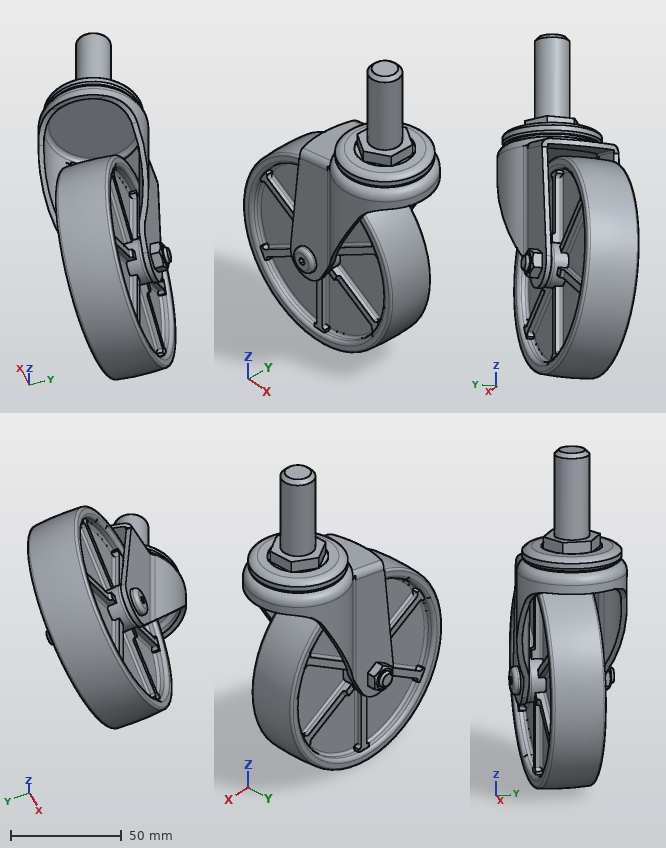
import cadquery as cq
import math

overrun = 1.7

swivel_x = 32.0
stem_top_z = 116.0

wheel_radius = 50.0
wheel_half_width = 12.5
tread_crown = 0.5
tread_corner_round = 1.2
rim_inner_radius = 44.0
rim_edge_round = 1.8
web_half_thickness = 7.5
web_fillet = 1.3
hub_radius = 10.3
hub_half_length = 15.1
hub_edge_round = 0.8

spoke_count = 6
spoke_half_width = 1.8
spoke_height = 3.3
spoke_fillet = 1.2
spoke_flare = 1.7
pad_height = 4.8
pad_end_radius = 14.5
pad_step_round = 1.0

sheet = 2.5
fork_half_width = 18.5
dish_radius = 24.9
dish_top_z = 64.0
dish_edge_round = 4.6
skirt_bottom_z = 55.1
leg_end_radius = 11.0
leg_rear_top_x = -5.3
leg_rear_top_z = 53.6
leg_front_angle = 60.0
skirt_arc_radius = 15.0
neck_blend_radius = 4.8
roof_slope = 10.0
roof_edge_radius = 41.3
roof_edge_z = 57.0
roof_bend_radius = 3.3

cap_radius = 22.5
cap_top_radius = 18.5
cap_top_z = 71.0
cap_shoulder_z = 68.9
cap_shoulder_round = 5.0
cap_lip_z = 66.4
cap_bottom_z = 65.2
cap_bottom_radius = 22.0
cap_neck_radius = 20.5
cap_recess_radius = 13.8
cap_recess_depth = 0.8

stem_radius = 8.0
stem_chamfer = 2.0
stem_hex_flats = 22.7
stem_hex_top_z = 75.9

bolt_radius = 4.0
bolt_tip_y = 25.4
bolt_tip_chamfer_length = 1.5
bolt_tip_chamfer_width = 0.8
head_radius = 6.5
head_height = 3.2
head_round = 2.0
socket_flats = 3.0
socket_depth = 2.5
nut_flats = 11.6
nut_height = 5.1
nut_chamfer_height = 1.0
nut_chamfer_width = 1.7


def hexagon_diameter(flats):
    """Corner-to-corner size of a hexagon from its size across flats."""
    return flats / math.cos(math.radians(30))


def both_sides(body):
    """A body on the +Y side together with its mirror image on the -Y side."""
    return body.union(body.mirror("XZ"))


def wheel_disc():
    """Tyre, rim, web and hub as one turned shape with a bore for the bolt."""
    round_45 = 1 - math.sqrt(0.5)
    rim_face_inner_radius = rim_inner_radius + rim_edge_round
    tread_edge_radius = wheel_radius - tread_crown
    tread_half_width = wheel_half_width - tread_corner_round
    rim_face_outer_radius = tread_edge_radius - tread_corner_round
    half_profile = (
        cq.Workplane("XY")
        .moveTo(bolt_radius, 0)
        .lineTo(bolt_radius, hub_half_length)
        .lineTo(hub_radius - hub_edge_round, hub_half_length)
        .threePointArc(
            (hub_radius - hub_edge_round * round_45, hub_half_length - hub_edge_round * round_45),
            (hub_radius, hub_half_length - hub_edge_round),
        )
        .lineTo(hub_radius, web_half_thickness)
        .lineTo(rim_inner_radius - web_fillet, web_half_thickness)
        .threePointArc(
            (rim_inner_radius - web_fillet * round_45, web_half_thickness + web_fillet * round_45),
            (rim_inner_radius, web_half_thickness + web_fillet),
        )
        .lineTo(rim_inner_radius, wheel_half_width - rim_edge_round)
        .threePointArc(
            (rim_inner_radius + rim_edge_round * round_45, wheel_half_width - rim_edge_round * round_45),
            (rim_face_inner_radius, wheel_half_width),
        )
        .lineTo(rim_face_outer_radius, wheel_half_width)
        .radiusArc((tread_edge_radius, tread_half_width), tread_corner_round)
        .lineTo(tread_edge_radius, 0)
        .close()
    )
    disc = both_sides(half_profile.revolve(360, (0, 0, 0), (0, 1, 0)))
    crowned_tread = (
        cq.Workplane("XY")
        .moveTo(rim_face_outer_radius, -tread_half_width)
        .lineTo(tread_edge_radius, -tread_half_width)
        .threePointArc((wheel_radius, 0), (tread_edge_radius, tread_half_width))
        .lineTo(rim_face_outer_radius, tread_half_width)
        .close()
        .revolve(360, (0, 0, 0), (0, 1, 0))
    )
    return disc.union(crowned_tread)


def spoke():
    """One raised rib on the +Y web face, pointing along +Z."""
    floor = web_half_thickness
    top = floor + spoke_height
    base_half_width = spoke_half_width + spoke_fillet
    fillet_mid = spoke_fillet * (1 - math.sqrt(0.5))
    inner = hub_radius - hub_edge_round
    rib = (
        cq.Workplane("XY", origin=(0, 0, inner))
        .moveTo(-base_half_width, floor - overrun)
        .lineTo(base_half_width, floor - overrun)
        .lineTo(base_half_width, floor)
        .threePointArc((spoke_half_width + fillet_mid, floor + fillet_mid),
                       (spoke_half_width, floor + spoke_fillet))
        .lineTo(spoke_half_width, top)
        .lineTo(-spoke_half_width, top)
        .lineTo(-spoke_half_width, floor + spoke_fillet)
        .threePointArc((-spoke_half_width - fillet_mid, floor + fillet_mid), (-base_half_width, floor))
        .close()
        .extrude(rim_inner_radius - inner)
    )
    flare_mid = spoke_flare * (1 - math.sqrt(0.5))
    flare_start = rim_inner_radius - 2 * spoke_flare
    flare_end = flare_start + spoke_flare
    flare_half_width = spoke_half_width + spoke_flare
    flare = (
        cq.Workplane("XZ", origin=(0, floor, 0))
        .moveTo(-spoke_half_width, flare_start)
        .lineTo(spoke_half_width, flare_start)
        .threePointArc((spoke_half_width + flare_mid, flare_end - flare_mid), (flare_half_width, flare_end))
        .lineTo(flare_half_width, rim_inner_radius)
        .lineTo(-flare_half_width, rim_inner_radius)
        .lineTo(-flare_half_width, flare_end)
        .threePointArc((-spoke_half_width - flare_mid, flare_end - flare_mid),
                       (-spoke_half_width, flare_start))
        .close()
        .extrude(-spoke_height)
    )
    return rib.union(flare)


def spoke_pad():
    """Taller inner end of a spoke next to the hub, on the +Y web face, pointing along +Z."""
    floor = web_half_thickness
    top = floor + spoke_height
    inner = hub_radius - hub_edge_round
    pad_top = floor + pad_height
    return (
        cq.Workplane("YZ", origin=(-spoke_half_width, 0, 0))
        .moveTo(floor, inner)
        .lineTo(pad_top, inner)
        .lineTo(pad_top, pad_end_radius)
        .lineTo(top + pad_step_round, pad_end_radius)
        .radiusArc((top, pad_end_radius + pad_step_round), pad_step_round)
        .lineTo(floor, pad_end_radius + pad_step_round)
        .close()
        .extrude(2 * spoke_half_width)
    )


def make_wheel():
    """Disc with spokes on both faces; every other spoke has a taller inner end."""
    wheel = wheel_disc()
    spoke_pair = both_sides(spoke())
    pad_pair = both_sides(spoke_pad())
    for index in range(spoke_count):
        angle = index * 360 / spoke_count
        wheel = wheel.union(spoke_pair.rotate((0, 0, 0), (0, 1, 0), angle))
        if index % 2 == 0:
            wheel = wheel.union(pad_pair.rotate((0, 0, 0), (0, 1, 0), angle))
    return wheel


def fork_form(inset):
    """Solid outer form of the fork, with every surface moved inward by inset."""
    radius = dish_radius - inset
    half_width = fork_half_width - inset
    blend = neck_blend_radius + inset
    bottom = -leg_end_radius - overrun

    dish = (
        cq.Workplane("XY", origin=(swivel_x, 0, bottom))
        .circle(radius)
        .extrude(dish_top_z - inset - bottom)
        .faces(">Z").edges().fillet(dish_edge_round - inset)
    )

    slope = math.tan(math.radians(roof_slope))
    drop = inset / math.cos(math.radians(roof_slope))
    rear_x = swivel_x - roof_edge_radius - overrun
    blend_x = swivel_x - math.sqrt((radius + blend) ** 2 - (half_width + blend) ** 2)

    def roof_z(x):
        return roof_edge_z - drop + slope * (x - swivel_x + roof_edge_radius)

    front_x = swivel_x - dish_radius / 2
    channel = (
        cq.Workplane("XZ", origin=(0, half_width, 0))
        .moveTo(rear_x, bottom)
        .lineTo(front_x, bottom)
        .lineTo(front_x, roof_z(front_x))
        .lineTo(rear_x, roof_z(rear_x))
        .close()
        .extrude(2 * half_width)
        .faces(">Z").edges("not |Y").fillet(roof_bend_radius - inset)
    )
    reach = radius / (radius + blend)
    dish_point = (
        swivel_x + (blend_x - swivel_x) * reach,
        (half_width + blend) * reach,
    )
    wedge = (
        cq.Workplane("XY", origin=(0, 0, bottom))
        .moveTo(blend_x, half_width)
        .radiusArc(dish_point, -blend)
        .lineTo(dish_point[0], half_width - roof_bend_radius)
        .lineTo(blend_x, half_width - roof_bend_radius)
        .close()
        .extrude(dish_top_z - dish_edge_round - inset - bottom)
    )
    return dish.union(channel).union(both_sides(wedge))


def fork_side_outline():
    """Outline of the legs and the skirt across X and Z, cut through the full width."""
    angle = math.radians(leg_front_angle)
    front_tangent = (leg_end_radius * math.sin(angle), -leg_end_radius * math.cos(angle))
    corner_x = front_tangent[0] + (skirt_bottom_z - front_tangent[1]) / math.tan(angle)
    arc_reach = skirt_arc_radius * math.tan(angle / 2)
    arc_start = (corner_x - arc_reach * math.cos(angle), skirt_bottom_z - arc_reach * math.sin(angle))
    arc_end = (corner_x + arc_reach, skirt_bottom_z)
    rear_distance = math.hypot(leg_rear_top_x, leg_rear_top_z)
    rear_angle = math.atan2(leg_rear_top_z, leg_rear_top_x) + math.acos(leg_end_radius / rear_distance)
    rear_tangent = (leg_end_radius * math.cos(rear_angle), leg_end_radius * math.sin(rear_angle))

    rear_x = swivel_x - roof_edge_radius - overrun
    front_x = swivel_x + dish_radius + overrun
    top_z = dish_top_z + overrun
    return (
        cq.Workplane("XZ", origin=(0, dish_radius + overrun, 0))
        .moveTo(*rear_tangent)
        .threePointArc((0, -leg_end_radius), front_tangent)
        .lineTo(*arc_start)
        .radiusArc(arc_end, skirt_arc_radius)
        .lineTo(front_x, skirt_bottom_z)
        .lineTo(front_x, top_z)
        .lineTo(rear_x, top_z)
        .lineTo(rear_x, leg_rear_top_z)
        .lineTo(leg_rear_top_x, leg_rear_top_z)
        .close()
        .extrude(2 * (dish_radius + overrun))
    )


def make_fork():
    """Hollow pressed fork, open below, with a hole for the axle in each leg."""
    shell = fork_form(0).cut(fork_form(sheet))
    roof_trim = (
        cq.Workplane("XY", origin=(swivel_x, 0, leg_rear_top_z))
        .circle(2 * roof_edge_radius)
        .circle(roof_edge_radius)
        .extrude(dish_top_z - leg_rear_top_z)
    )
    axle_hole = (
        cq.Workplane("XZ", origin=(0, dish_radius, 0)).circle(bolt_radius).extrude(2 * dish_radius)
    )
    return shell.intersect(fork_side_outline()).cut(roof_trim).cut(axle_hole)


def make_cap():
    """Turned cap on the fork, with a rounded shoulder and a shallow recess for the stem."""
    recess_z = cap_top_z - cap_recess_depth
    return (
        cq.Workplane("XZ", origin=(swivel_x, 0, 0))
        .moveTo(0, dish_top_z)
        .lineTo(cap_neck_radius, dish_top_z)
        .lineTo(cap_neck_radius, cap_bottom_z)
        .lineTo(cap_bottom_radius, cap_bottom_z)
        .lineTo(cap_radius, cap_lip_z)
        .lineTo(cap_radius, cap_shoulder_z)
        .radiusArc((cap_top_radius, cap_top_z), -cap_shoulder_round)
        .lineTo(cap_recess_radius, cap_top_z)
        .lineTo(cap_recess_radius, recess_z)
        .lineTo(0, recess_z)
        .close()
        .revolve(360, (0, 0, 0), (0, 1, 0))
    )


def make_stem():
    """Upright stem with a hexagon that stands in the recess of the cap."""
    base_z = cap_top_z - cap_recess_depth
    hexagon = (
        cq.Workplane("XY", origin=(swivel_x, 0, base_z))
        .transformed(rotate=(0, 0, 90))
        .polygon(6, hexagon_diameter(stem_hex_flats))
        .extrude(stem_hex_top_z - base_z)
    )
    shank = (
        cq.Workplane("XY", origin=(swivel_x, 0, stem_hex_top_z))
        .circle(stem_radius)
        .extrude(stem_top_z - stem_hex_top_z)
        .faces(">Z").chamfer(stem_chamfer)
    )
    return hexagon.union(shank)


def make_axle_bolt():
    """Round-headed bolt along +Y, with its nut on the +Y leg."""
    head_y = -fork_half_width - head_height
    shank = (
        cq.Workplane("XZ", origin=(0, -fork_half_width, 0))
        .circle(bolt_radius)
        .extrude(-(fork_half_width + bolt_tip_y))
        .faces(">Y").chamfer(bolt_tip_chamfer_length, bolt_tip_chamfer_width)
    )
    head = (
        cq.Workplane("XZ", origin=(0, -fork_half_width, 0))
        .circle(head_radius)
        .extrude(head_height)
        .faces("<Y").edges().fillet(head_round)
    )
    socket = (
        cq.Workplane("XZ", origin=(0, head_y, 0))
        .polygon(6, hexagon_diameter(socket_flats))
        .extrude(-socket_depth)
    )
    nut_corners = hexagon_diameter(nut_flats)
    nut_blank = (
        cq.Workplane("XZ", origin=(0, fork_half_width, 0))
        .transformed(rotate=(0, 0, 90))
        .polygon(6, nut_corners)
        .extrude(-nut_height)
    )
    nut_envelope = (
        cq.Workplane("XZ", origin=(0, fork_half_width, 0))
        .circle(nut_corners / 2)
        .extrude(-nut_height)
        .faces(">Y").chamfer(nut_chamfer_height, nut_chamfer_width)
    )
    nut = nut_blank.intersect(nut_envelope)
    return shank.union(head).union(nut).cut(socket)


wheel = make_wheel()
fork = make_fork()
cap = make_cap()
stem = make_stem()
axle_bolt = make_axle_bolt()

result = cq.Compound.makeCompound([wheel.val(), fork.val(), cap.val(), stem.val(), axle_bolt.val()])